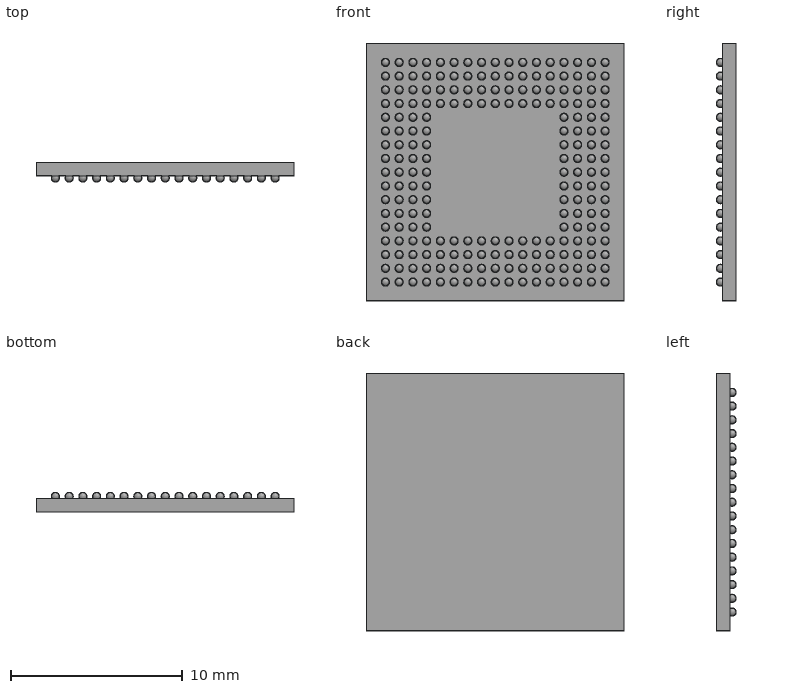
import cadquery as cq

body_side = 15.0
overall_depth = 1.15
body_thickness = 0.8

balls_per_side = 17
ring_count = 4
grid_span = 12.8
ball_radius = 0.24

ball_pitch = grid_span / (balls_per_side - 1)
ball_height = overall_depth - body_thickness
ball_face_y = -body_thickness / 2
ball_center_y = ball_face_y - ball_height + ball_radius


def make_body():
    """Square plate standing in the XZ plane."""
    return cq.Workplane("XY").box(body_side, body_thickness, body_side)


def ball_positions():
    """Ball centres on the outer rings of the square grid."""
    last = balls_per_side - 1
    middle = last / 2
    positions = []
    for column in range(balls_per_side):
        for row in range(balls_per_side):
            ring = min(column, row, last - column, last - row)
            if ring < ring_count:
                x = (column - middle) * ball_pitch
                z = (row - middle) * ball_pitch
                positions.append(cq.Vector(x, ball_center_y, z))
    return positions


def make_balls():
    """Solder balls, each partly sunk into the body."""
    ball = cq.Workplane("XY").sphere(ball_radius).val()
    return [ball.translate(position) for position in ball_positions()]


result = cq.Workplane("XY").newObject([make_body().val().fuse(*make_balls())])